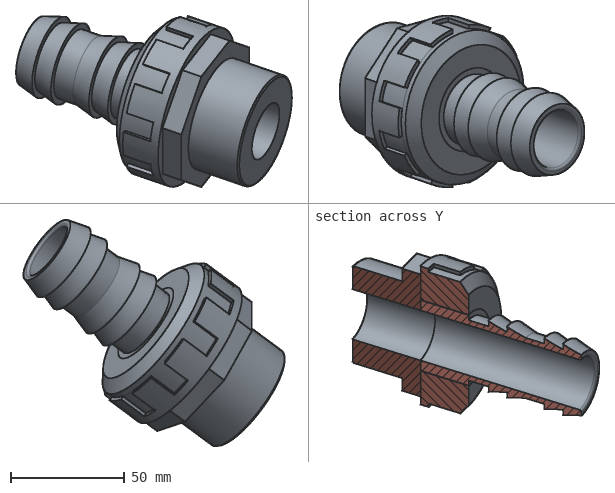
import cadquery as cq
import math

TOTAL_LENGTH = 116.0

TUBE_RADIUS = 16.2
BORE_RADIUS = 13.2
BORE_LIP_RADIUS = 1.2
BARB_RADIUS = 19.0
BARBED_LENGTH = 47.2
BARB_CELLS = (0, 1, 3, 4)
BARB_PITCH = BARBED_LENGTH / (BARB_CELLS[-1] + 1)
COLLAR_RADIUS = BARB_RADIUS
COLLAR_START = 57.1

NUT_START = COLLAR_START
NUT_END = 81.5
NUT_RADIUS = 37.0
NUT_NECK_RADIUS = 35.1
NUT_FACE_RADIUS = 29.6
NUT_CONE_LENGTH = 4.3
GRIP_START = 64.0
SLOT_LENGTH = 13.3
SLOT_WIDTH = 9.4
SLOT_COUNT = 10
SLOT_OVERCUT = 1.2

OCTAGON_SIDES = 8
OCTAGON_ACROSS_FLATS = 65.3
OCTAGON_LENGTH = 9.4
SOCKET_RADIUS = 26.0
SOCKET_CHAMFER = 0.7


def rod(start, end, radius):
    """Solid cylinder on the X axis."""
    return cq.Workplane("YZ", origin=(start, 0, 0)).circle(radius).extrude(end - start)


def barb(start):
    """Cone that widens along X and ends in a sharp step."""
    end = start + BARB_PITCH
    return (
        cq.Workplane("XY")
        .moveTo(start, 0)
        .lineTo(start, TUBE_RADIUS)
        .lineTo(end, BARB_RADIUS)
        .lineTo(end, 0)
        .close()
        .revolve(360, (0, 0, 0), (1, 0, 0))
    )


def make_hose_tail():
    """Barbed tube with a collar that fills the nut's bore."""
    tail = rod(0, NUT_END, TUBE_RADIUS)
    for cell in BARB_CELLS:
        tail = tail.union(barb(cell * BARB_PITCH))
    tail = tail.union(rod(COLLAR_START, NUT_END, COLLAR_RADIUS))
    tail = tail.cut(rod(0, NUT_END, BORE_RADIUS))
    bore_lip = cq.selectors.RadiusNthSelector(0)
    return tail.faces("<X").edges(bore_lip).fillet(BORE_LIP_RADIUS)


def make_nut():
    """Ring with a conical front and a raised grip cut by slots."""
    cone_end = NUT_START + NUT_CONE_LENGTH
    nut = (
        cq.Workplane("XY")
        .moveTo(NUT_START, COLLAR_RADIUS)
        .lineTo(NUT_START, NUT_FACE_RADIUS)
        .lineTo(cone_end, NUT_NECK_RADIUS)
        .lineTo(GRIP_START, NUT_NECK_RADIUS)
        .lineTo(GRIP_START, NUT_RADIUS)
        .lineTo(NUT_END, NUT_RADIUS)
        .lineTo(NUT_END, COLLAR_RADIUS)
        .close()
        .revolve(360, (0, 0, 0), (1, 0, 0))
    )
    for index in range(SLOT_COUNT):
        nut = nut.cut(grip_slot(index * 360 / SLOT_COUNT))
    return nut


def grip_slot(angle):
    """Parallel-sided cutter whose floor continues the neck's cylinder."""
    slot = cq.Workplane("XY").box(
        SLOT_LENGTH, SLOT_WIDTH, NUT_RADIUS + SLOT_OVERCUT, centered=(False, True, False)
    )
    slot = slot.translate((GRIP_START, 0, 0))
    slot = slot.cut(rod(GRIP_START, GRIP_START + SLOT_LENGTH, NUT_NECK_RADIUS))
    return slot.rotate((0, 0, 0), (1, 0, 0), angle)


def make_socket_end():
    """Octagonal wrench flange and a round socket, bored through."""
    octagon_end = NUT_END + OCTAGON_LENGTH
    across_corners = OCTAGON_ACROSS_FLATS / math.cos(math.pi / OCTAGON_SIDES)
    octagon = (
        cq.Workplane("YZ", origin=(NUT_END, 0, 0))
        .polygon(OCTAGON_SIDES, across_corners)
        .extrude(OCTAGON_LENGTH)
        .rotate((0, 0, 0), (1, 0, 0), 180 / OCTAGON_SIDES)
    )
    socket = rod(octagon_end, TOTAL_LENGTH, SOCKET_RADIUS).faces(">X").chamfer(SOCKET_CHAMFER)
    return octagon.union(socket).cut(rod(NUT_END, TOTAL_LENGTH, BORE_RADIUS))


hose_tail = make_hose_tail()
nut = make_nut()
socket_end = make_socket_end()

result = cq.Compound.makeCompound([hose_tail.val(), nut.val(), socket_end.val()])